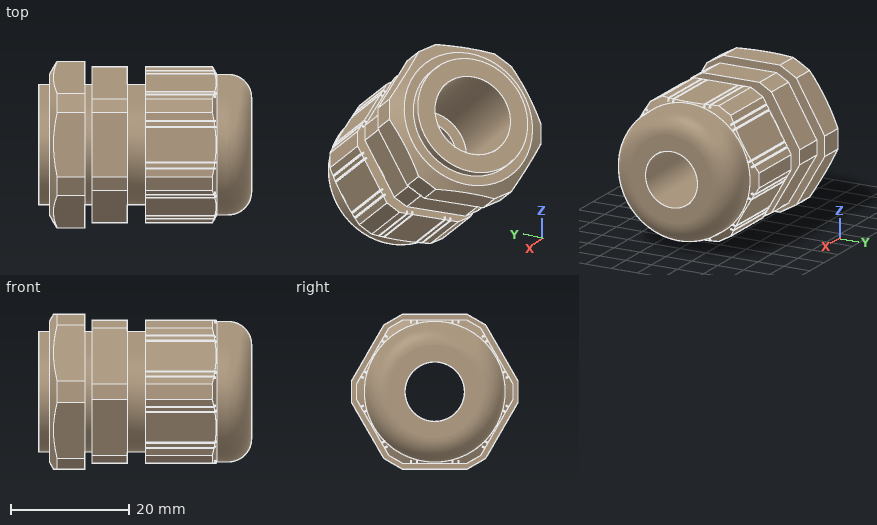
import cadquery as cq
import math


nut_start = 1.8
nut_length = 6.0
body_hex_start = 9.0
body_hex_length = 6.0
cap_hex_start = 18.0
cap_hex_length = 12.1
cap_hex_end = cap_hex_start + cap_hex_length
total_length = 36.0

thread_diameter = 20.4
entry_bore_diameter = 14.0
cable_bore_diameter = 10.0
dome_diameter = 23.8
dome_fillet = 4.0
nut_across_flats = 26.2
nut_across_corners = 28.15
body_across_flats = 24.2
body_across_corners = 26.4

bevel_base_diameter = dome_diameter
bevel_angle = 30.0

groove_width = 0.2
groove_depth = 0.5
groove_offsets = (3.0, 4.0)
hex_sides = 6


def cylinder(diameter, start, length):
    return cq.Workplane("YZ", origin=(start, 0, 0)).circle(diameter / 2).extrude(length)


def hexagon(across_flats, start, length):
    """Hexagonal prism with one pair of flats facing up and down."""
    corner_diameter = across_flats / math.cos(math.pi / hex_sides)
    return cq.Workplane("YZ", origin=(start, 0, 0)).polygon(hex_sides, corner_diameter).extrude(length)


def blunt_hexagon(across_flats, across_corners, start, length):
    """Hexagonal prism whose corners are cut flat."""
    corner_flats = hexagon(across_corners, start, length)
    corner_flats = corner_flats.rotate((0, 0, 0), (1, 0, 0), 180 / hex_sides)
    return hexagon(across_flats, start, length).intersect(corner_flats)


def bevel_envelope(start, length, direction):
    """Cone that is narrowest at the bevelled face and widens along the given X direction."""
    narrow_radius = bevel_base_diameter / 2
    wide_radius = narrow_radius + length / math.tan(math.radians(bevel_angle))
    base_centre = cq.Vector(start, 0, 0)
    axis = cq.Vector(direction, 0, 0)
    return cq.Workplane(cq.Solid.makeCone(narrow_radius, wide_radius, length, base_centre, axis))


def cut_grip_grooves(cap_hex):
    floor_height = body_across_flats / 2 - groove_depth
    for side in range(hex_sides):
        for offset in groove_offsets:
            for y in (-offset, offset):
                groove = (
                    cq.Workplane("XY")
                    .box(cap_hex_length, groove_width, 2 * groove_depth, centered=(False, True, False))
                    .translate((cap_hex_start, y, floor_height))
                    .rotate((0, 0, 0), (1, 0, 0), side * 360 / hex_sides)
                )
                cap_hex = cap_hex.cut(groove)
    return cap_hex


def make_lock_nut():
    nut = blunt_hexagon(nut_across_flats, nut_across_corners, nut_start, nut_length)
    nut = nut.intersect(bevel_envelope(nut_start, nut_length, 1))
    return nut.cut(cylinder(thread_diameter, nut_start, nut_length))


def make_cap():
    """Grooved cap hexagon followed by its rounded dome."""
    cap_hex = blunt_hexagon(body_across_flats, body_across_corners, cap_hex_start, cap_hex_length)
    cap_hex = cap_hex.intersect(bevel_envelope(cap_hex_end, cap_hex_length, -1))
    cap_hex = cut_grip_grooves(cap_hex)
    dome = cylinder(dome_diameter, cap_hex_end, total_length - cap_hex_end)
    dome = dome.faces(">X").edges().fillet(dome_fillet)
    return cap_hex.union(dome)


def make_gland():
    """Threaded body, wrench hexagon and cap, with a stepped bore through all of them."""
    gland = cylinder(thread_diameter, 0, cap_hex_end)
    gland = gland.union(blunt_hexagon(body_across_flats, body_across_corners, body_hex_start, body_hex_length))
    gland = gland.union(make_cap())
    gland = gland.cut(cylinder(cable_bore_diameter, 0, total_length))
    return gland.cut(cylinder(entry_bore_diameter, 0, cap_hex_start))


lock_nut = make_lock_nut()
gland = make_gland()
result = cq.Compound.makeCompound([lock_nut.val(), gland.val()])